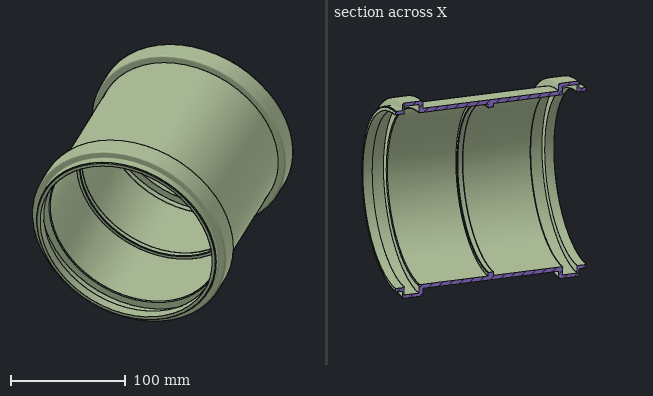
import cadquery as cq

length = 178.0
collar_diameter = 181.4
body_diameter = 167.5
lip_diameter = 167.8
stop_diameter = 152.4
bore_diameter = 158.9
mouth_diameter = 160.5
groove_diameter = 174.3

lip_length = 6.7
collar_length = 19.2
groove_start = 8.7
groove_length = 13.0
stop_width = 5.5

collar_fillet = 1.8
lip_root_fillet = 0.7
lip_chamfer = 0.7
stop_chamfer = 0.5

half_length = length / 2
lead_in = (mouth_diameter - bore_diameter) / 2


def ring(outer_diameter, inner_diameter, start, depth):
    """Ring around the Y axis, reaching from the given Y toward +Y."""
    plane = cq.Workplane("XZ", origin=(0, start, 0))
    return plane.circle(outer_diameter / 2).circle(inner_diameter / 2).extrude(-depth)


def half_outline():
    """Radius and Y of the -Y half of the wall, without the groove and the rounded edges."""
    end = -half_length
    collar_start = end + lip_length
    collar_end = collar_start + collar_length
    groove_end = end + groove_start + groove_length
    stop_start = -stop_width / 2
    return [
        (mouth_diameter / 2, end),
        (lip_diameter / 2 - lip_chamfer, end),
        (lip_diameter / 2, end + lip_chamfer),
        (lip_diameter / 2, collar_start),
        (collar_diameter / 2, collar_start),
        (collar_diameter / 2, collar_end),
        (body_diameter / 2, collar_end),
        (body_diameter / 2, 0),
        (stop_diameter / 2, 0),
        (stop_diameter / 2, stop_start + stop_chamfer),
        (stop_diameter / 2 + stop_chamfer, stop_start),
        (bore_diameter / 2, stop_start),
        (bore_diameter / 2, groove_end + lead_in),
        (mouth_diameter / 2, groove_end),
    ]


def rim_edge(solid, diameter, y):
    """Largest circular edge within the given diameter at the given Y."""
    radius = diameter / 2
    tolerance = 0.02
    return solid.edges(
        cq.selectors.BoxSelector(
            (-radius - tolerance, y - tolerance, -radius - tolerance),
            (radius + tolerance, y + tolerance, radius + tolerance),
            boundingbox=True,
        )
    ).edges(cq.selectors.RadiusNthSelector(-1))


def socket_half():
    """-Y half: lip, rounded collar, seal groove, lead-in and half of the pipe stop."""
    half = cq.Workplane("XY").polyline(half_outline()).close().revolve(360, (0, 0, 0), (0, 1, 0))
    collar_start = lip_length - half_length
    half = rim_edge(half, collar_diameter, collar_start).fillet(collar_fillet)
    half = rim_edge(half, collar_diameter, collar_start + collar_length).fillet(collar_fillet)
    half = rim_edge(half, lip_diameter, collar_start).fillet(lip_root_fillet)
    groove = ring(groove_diameter, stop_diameter, groove_start - half_length, groove_length)
    return half.cut(groove)


half = socket_half()
result = half.union(half.mirror("XZ"))